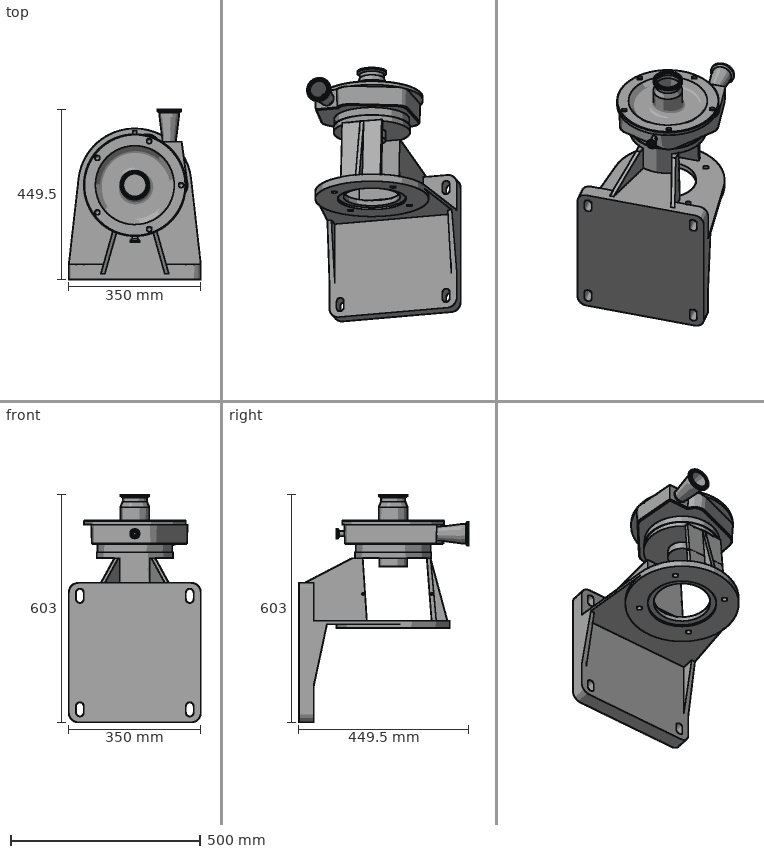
import cadquery as cq
import math


PLATE_WIDTH = 350.0
PLATE_HEIGHT = 369.5
PLATE_THICK = 40.0
PLATE_BACK_Y = -249.5
PLATE_FRONT_Y = PLATE_BACK_Y + PLATE_THICK
PLATE_CORNER_R = 26.0
SLOT_LENGTH = 37.0
SLOT_WIDTH = 20.0
SLOT_SPACING_X = 290.5
SLOT_SPACING_Z = 300.0

FLANGE_TOP_Z = 269.5
FLANGE_THICK = 20.0
FLANGE_R = 150.0
FLANGE_BORE_R = 75.0
MOTOR_RECESS_R = 90.5
MOTOR_RECESS_DEPTH = 5.5
ARM_THICK = FLANGE_THICK / 2
BOLT_HOLE_R = 7.0
BOLT_CIRCLE_R = 114.0
BOLT_COUNT = 4
BOLT_START_ANGLE = 45
UNDER_RIB_REACH = 35.0
UNDER_RIB_FOOT_Z = 96.5
UNDER_RIB_GAP = 319.5

WALL = 10.0
PILLAR_HALF_WIDTH = 54.0
FRONT_PILLAR_Y = -108.5
FRONT_INNER_TOP_Y = -80.0
FRONT_INNER_FOOT_Y = -69.5
GUSSET_TIP_Y = -234.0
GUSSET_ANGLE = math.radians(15.8)
REAR_INNER_TOP_Y = 88.5
REAR_INNER_FOOT_Y = 101.5
REAR_OUTER_TOP_Y = 99.0
REAR_OUTER_FOOT_Y = 114.0
REAR_RIB_FOOT_Y = 143.5
PIN_HOLE_R = 2.5
PIN_HOLE_Z = 340.0
PIN_HOLE_FRONT_Y = -79.5
PIN_HOLE_REAR_Y = 102.5

COLLAR_BOTTOM_Z = 435.0
COLLAR_STEP_Z = 450.5
COLLAR_LOWER_R = 101.5
COLLAR_UPPER_R = 99.5
STUB_R = 37.5
STUB_BOTTOM_Z = 412.5

HOUSING_BOTTOM_Z = 471.5
HOUSING_TOP_Z = 523.5
CORNER_COUNT = 5
CORNER_R = 35.0
CORNER_OFFSET = 99.5
VOLUTE_CORNER_OFFSET = 105.0
VOLUTE_CORNER_COUNT = 2
HOUSING_DRAFT = 1.5
HOUSING_CHAMFER = 3.0
OUTLET_FACE_Y = 115.0
OUTLET_FACE_END_X = 124.0
OUTLET_FACE_START_X = 48.0

COVER_TOP_Z = 534.0
COVER_R = 135.0
COVER_CHAMFER = 2.0
RECESS_RIM_R = 107.0
RECESS_RIM_BEVEL_WIDTH = 2.5
RECESS_RIM_BEVEL_DEPTH = 0.5
RECESS_WALL_FOOT_R = 93.5
RECESS_FLOOR_R = 83.0
RECESS_DEPTH = 18.0
RECESS_WALL_DEPTH = 12.5
SCREW_HOLE_R = 6.5
SCREW_HOLE_DEPTH = 7.0
SCREW_CIRCLE_R = 122.5

INLET_TOP_Z = 603.0
INLET_R = 38.5
INLET_NECK_R = 32.5
INLET_BORE_R = 30.0
INLET_SHOULDER_Z = 569.0
INLET_NECK_Z = 584.5
INLET_BORE_BOTTOM_Z = 482.5
INLET_ROOT_R = 15.0

OUTLET_X = 91.0
OUTLET_Z = 499.0
OUTLET_END_Y = 200.0
OUTLET_R = 26.0
OUTLET_ROOT_R = 18.0
OUTLET_ROOT_LAP = 10.0
OUTLET_ROOT_STRAIGHT = 3.0
OUTLET_LIP_R = 32.0
OUTLET_STRAIGHT = 20.0
OUTLET_BORE_R = 23.0

DRAIN_Z = OUTLET_Z
DRAIN_R = 7.0
DRAIN_BORE_R = 4.0
DRAIN_LIP_R = 12.5
DRAIN_END_Y = -151.0
DRAIN_ROOT_Y = -102.5

LIP_THICK = 4.0
LIP_TAPER = 4.0
SEAL_GROOVE_WIDTH = 3.0
SEAL_GROOVE_DEPTH = 2.0


def disc(radius, bottom_z, top_z):
    return cq.Workplane("XY").workplane(offset=bottom_z).circle(radius).extrude(top_z - bottom_z)


def side_profile(points, half_width):
    """Prism of a (Y, Z) outline, centred on X = 0."""
    return cq.Workplane("YZ").polyline(points).close().extrude(half_width, both=True)


def mounting_plate():
    centre_z = PLATE_HEIGHT / 2
    face = cq.Workplane("XZ", origin=(0, PLATE_FRONT_Y, centre_z))
    plate = face.rect(PLATE_WIDTH, PLATE_HEIGHT).extrude(PLATE_THICK).edges("|Y").fillet(PLATE_CORNER_R)
    slots = (
        face.rect(SLOT_SPACING_X, SLOT_SPACING_Z, forConstruction=True)
        .vertices()
        .slot2D(SLOT_LENGTH, SLOT_WIDTH, 90)
        .extrude(PLATE_THICK)
    )
    return plate.cut(slots)


def arm_outline():
    """Plan of the arm: straight sides from the plate, tangent to the round flange."""
    root_x = PLATE_WIDTH / 2
    root_distance = math.hypot(root_x, PLATE_FRONT_Y)
    tangent_angle = math.atan2(PLATE_FRONT_Y, root_x) + math.acos(FLANGE_R / root_distance)
    tangent_x = FLANGE_R * math.cos(tangent_angle)
    tangent_y = FLANGE_R * math.sin(tangent_angle)
    return (
        cq.Workplane("XY", origin=(0, 0, FLANGE_TOP_Z))
        .moveTo(root_x, PLATE_FRONT_Y)
        .lineTo(tangent_x, tangent_y)
        .threePointArc((0, FLANGE_R), (-tangent_x, tangent_y))
        .lineTo(-root_x, PLATE_FRONT_Y)
        .close()
    )


def under_ribs():
    """Triangular ribs under the arm, flush with its slanted sides."""
    tip_y = PLATE_FRONT_Y + UNDER_RIB_REACH
    arm_bottom_z = FLANGE_TOP_Z - ARM_THICK
    wedge_outline = [
        (PLATE_FRONT_Y, UNDER_RIB_FOOT_Z),
        (PLATE_FRONT_Y, arm_bottom_z),
        (tip_y, arm_bottom_z),
    ]
    wedge = side_profile(wedge_outline, PLATE_WIDTH / 2)
    arm_prism = arm_outline().extrude(-FLANGE_TOP_Z)
    gap = side_profile(wedge_outline, UNDER_RIB_GAP / 2)
    return wedge.intersect(arm_prism).cut(gap)


def motor_flange():
    """Round flange with a shallow locating recess for the motor underneath."""
    bottom_z = FLANGE_TOP_Z - FLANGE_THICK
    flange = disc(FLANGE_R, bottom_z, FLANGE_TOP_Z)
    flange = flange.union(arm_outline().extrude(-ARM_THICK))
    bolt_holes = (
        cq.Workplane("XY", origin=(0, 0, bottom_z))
        .polarArray(BOLT_CIRCLE_R, BOLT_START_ANGLE, 360, BOLT_COUNT)
        .circle(BOLT_HOLE_R)
        .extrude(FLANGE_THICK)
    )
    bore = disc(FLANGE_BORE_R, bottom_z, FLANGE_TOP_Z)
    motor_recess = disc(MOTOR_RECESS_R, bottom_z, bottom_z + MOTOR_RECESS_DEPTH)
    return flange.cut(bore).cut(motor_recess).cut(bolt_holes)


def gusset_pair_plan(inset):
    """Plan between the gussets, moved inwards by inset from their outer faces."""
    near_x = PILLAR_HALF_WIDTH - inset
    far_x = near_x + (FRONT_PILLAR_Y - GUSSET_TIP_Y) * math.tan(GUSSET_ANGLE)
    inner_x = near_x - (FRONT_INNER_FOOT_Y - FRONT_PILLAR_Y) * math.tan(GUSSET_ANGLE)
    return (
        cq.Workplane("XY", origin=(0, 0, FLANGE_TOP_Z))
        .polyline(
            [
                (-inner_x, FRONT_INNER_FOOT_Y),
                (inner_x, FRONT_INNER_FOOT_Y),
                (far_x, GUSSET_TIP_Y),
                (-far_x, GUSSET_TIP_Y),
            ]
        )
        .close()
    )


def front_pillar():
    """Pillar with a round face, two splayed gussets and a shelf level with the plate."""
    height = COLLAR_BOTTOM_Z - FLANGE_TOP_Z
    pillar = side_profile(
        [
            (FRONT_INNER_FOOT_Y, FLANGE_TOP_Z),
            (FRONT_INNER_TOP_Y, COLLAR_BOTTOM_Z),
            (FRONT_PILLAR_Y, COLLAR_BOTTOM_Z),
            (FRONT_PILLAR_Y, FLANGE_TOP_Z),
        ],
        PILLAR_HALF_WIDTH,
    )
    brace = side_profile(
        [
            (FRONT_PILLAR_Y, FLANGE_TOP_Z),
            (FRONT_PILLAR_Y, COLLAR_BOTTOM_Z),
            (GUSSET_TIP_Y, PLATE_HEIGHT),
            (GUSSET_TIP_Y, FLANGE_TOP_Z),
        ],
        PLATE_WIDTH / 2,
    ).intersect(gusset_pair_plan(0).extrude(height))
    gap = gusset_pair_plan(WALL / math.cos(GUSSET_ANGLE)).extrude(height)
    gap = gap.cut(disc(COLLAR_LOWER_R, FLANGE_TOP_Z, COLLAR_BOTTOM_Z))
    gap = gap.cut(disc(PLATE_WIDTH, FLANGE_TOP_Z, PLATE_HEIGHT))
    return pillar.union(brace).cut(gap)


def rear_pillar():
    """Leaning wall with a triangular rib on the middle of its outer face."""
    wall = side_profile(
        [
            (REAR_INNER_FOOT_Y, FLANGE_TOP_Z),
            (REAR_INNER_TOP_Y, COLLAR_BOTTOM_Z),
            (REAR_OUTER_TOP_Y, COLLAR_BOTTOM_Z),
            (REAR_OUTER_FOOT_Y, FLANGE_TOP_Z),
        ],
        PILLAR_HALF_WIDTH,
    )
    rib = side_profile(
        [
            (REAR_INNER_FOOT_Y, FLANGE_TOP_Z),
            (REAR_OUTER_TOP_Y, COLLAR_BOTTOM_Z),
            (REAR_RIB_FOOT_Y, FLANGE_TOP_Z),
        ],
        WALL / 2,
    )
    return wall.union(rib)


def pin_holes():
    return (
        cq.Workplane("YZ")
        .pushPoints([(PIN_HOLE_FRONT_Y, PIN_HOLE_Z), (PIN_HOLE_REAR_Y, PIN_HOLE_Z)])
        .circle(PIN_HOLE_R)
        .extrude(PILLAR_HALF_WIDTH, both=True)
    )


def collar():
    lower = disc(COLLAR_LOWER_R, COLLAR_BOTTOM_Z, COLLAR_STEP_Z)
    upper = disc(COLLAR_UPPER_R, COLLAR_STEP_Z, HOUSING_BOTTOM_Z)
    stub = disc(STUB_R, STUB_BOTTOM_Z, COLLAR_BOTTOM_Z)
    return lower.union(upper).union(stub)


def housing_corner_centre(index):
    """Centre of a housing corner; the two next to the outlet stand further out."""
    offset = VOLUTE_CORNER_OFFSET if index < VOLUTE_CORNER_COUNT else CORNER_OFFSET
    angle = 2 * math.pi * index / CORNER_COUNT
    return (offset * math.cos(angle), offset * math.sin(angle))


def housing_plan(points):
    return cq.Workplane("XY", origin=(0, 0, HOUSING_TOP_Z)).polyline(points).close()


def drafted_prism(outline):
    height = HOUSING_TOP_Z - HOUSING_BOTTOM_Z
    return outline.extrude(-height, taper=HOUSING_DRAFT).faces("<Z").chamfer(HOUSING_CHAMFER)


def housing():
    corners = [housing_corner_centre(index) for index in range(CORNER_COUNT)]
    outlet_block = [
        (OUTLET_FACE_START_X, OUTLET_FACE_Y),
        (OUTLET_FACE_END_X, OUTLET_FACE_Y),
        (VOLUTE_CORNER_OFFSET + CORNER_R, 0),
        (OUTLET_FACE_START_X, 0),
    ]
    body = drafted_prism(housing_plan(corners).offset2D(CORNER_R))
    return body.union(drafted_prism(housing_plan(outlet_block)))


def cover():
    return disc(COVER_R, HOUSING_TOP_Z, COVER_TOP_Z).faces(">Z").edges().chamfer(COVER_CHAMFER)


def recess():
    """Dished annular recess in the cover around the inlet."""
    floor_z = COVER_TOP_Z - RECESS_DEPTH
    wall_foot_z = COVER_TOP_Z - RECESS_WALL_DEPTH
    inner_r = INLET_R + INLET_ROOT_R
    root_mid = INLET_ROOT_R * (1 - math.sqrt(0.5))
    return (
        cq.Workplane("XZ")
        .moveTo(INLET_R, COVER_TOP_Z)
        .lineTo(INLET_R, floor_z + INLET_ROOT_R)
        .threePointArc((INLET_R + root_mid, floor_z + root_mid), (inner_r, floor_z))
        .lineTo(RECESS_FLOOR_R, floor_z)
        .tangentArcPoint((RECESS_WALL_FOOT_R, wall_foot_z), relative=False)
        .lineTo(RECESS_RIM_R - RECESS_RIM_BEVEL_WIDTH, COVER_TOP_Z - RECESS_RIM_BEVEL_DEPTH)
        .lineTo(RECESS_RIM_R, COVER_TOP_Z)
        .close()
        .revolve(360, (0, 0, 0), (0, 1, 0))
    )


def screw_holes():
    """Blind holes with a drill-point bottom, one over each housing corner."""
    hole_bottom_z = COVER_TOP_Z - SCREW_HOLE_DEPTH
    hole = (
        cq.Workplane("XZ")
        .polyline(
            [
                (0, COVER_TOP_Z),
                (SCREW_HOLE_R, COVER_TOP_Z),
                (SCREW_HOLE_R, hole_bottom_z),
                (0, hole_bottom_z - SCREW_HOLE_R),
            ]
        )
        .close()
        .revolve(360, (0, 0, 0), (0, 1, 0))
        .translate((SCREW_CIRCLE_R, 0, 0))
    )
    holes = cq.Workplane("XY")
    for index in range(CORNER_COUNT):
        holes = holes.union(hole.rotate((0, 0, 0), (0, 0, 1), index * 360 / CORNER_COUNT))
    return holes


def spigot(body_points, lip_r, bore_r, length):
    """Turned pipe end along +Z from Z = 0, still unbored, with a grooved clamp lip at Z = length."""
    neck_r = body_points[-1][0]
    lip_points = [
        (neck_r, length - LIP_THICK - LIP_TAPER),
        (lip_r, length - LIP_THICK),
        (lip_r, length),
        (0, length),
    ]
    turned = (
        cq.Workplane("XZ")
        .polyline([(0, 0)] + body_points + lip_points)
        .close()
        .revolve(360, (0, 0, 0), (0, 1, 0))
    )
    groove_r = (lip_r + bore_r) / 2
    groove = disc(groove_r + SEAL_GROOVE_WIDTH / 2, length - SEAL_GROOVE_DEPTH, length)
    groove = groove.cut(disc(groove_r - SEAL_GROOVE_WIDTH / 2, 0, length))
    return turned.cut(groove)


def inlet():
    root_z = COVER_TOP_Z - RECESS_DEPTH
    body = [
        (INLET_R, 0),
        (INLET_R, INLET_SHOULDER_Z - root_z),
        (INLET_NECK_R, INLET_NECK_Z - root_z),
    ]
    pipe = spigot(body, INLET_R, INLET_BORE_R, INLET_TOP_Z - root_z)
    return pipe.translate((0, 0, root_z))


def inlet_bore():
    return disc(INLET_BORE_R, INLET_BORE_BOTTOM_Z, INLET_TOP_Z)


def outlet():
    root_y = OUTLET_FACE_Y - OUTLET_ROOT_LAP
    length = OUTLET_END_Y - root_y
    body = [
        (OUTLET_ROOT_R, 0),
        (OUTLET_ROOT_R, OUTLET_ROOT_LAP + OUTLET_ROOT_STRAIGHT),
        (OUTLET_R, length - OUTLET_STRAIGHT),
    ]
    pipe = spigot(body, OUTLET_LIP_R, OUTLET_BORE_R, length)
    return pipe.rotate((0, 0, 0), (1, 0, 0), -90).translate((OUTLET_X, root_y, OUTLET_Z))


def outlet_bore():
    """Conical bore from the outlet lip down to the housing face."""
    root_bore_r = OUTLET_ROOT_R - (OUTLET_R - OUTLET_BORE_R)
    length = OUTLET_END_Y - OUTLET_FACE_Y
    start = cq.Vector(OUTLET_X, OUTLET_FACE_Y, OUTLET_Z)
    return cq.Workplane(cq.Solid.makeCone(root_bore_r, OUTLET_BORE_R, length, start, cq.Vector(0, 1, 0)))


def drain():
    length = DRAIN_ROOT_Y - DRAIN_END_Y
    stem = spigot([(DRAIN_R, 0)], DRAIN_LIP_R, DRAIN_BORE_R, length)
    bore = disc(DRAIN_BORE_R, length / 2, length)
    return stem.cut(bore).rotate((0, 0, 0), (1, 0, 0), 90).translate((0, DRAIN_ROOT_Y, DRAIN_Z))


bracket = mounting_plate().union(motor_flange()).union(under_ribs())
bracket = bracket.union(front_pillar()).union(rear_pillar()).cut(pin_holes())

pump = collar().union(housing()).union(cover()).cut(recess()).cut(screw_holes())
pump = pump.union(inlet()).cut(inlet_bore())
pump = pump.union(outlet()).cut(outlet_bore()).union(drain())

result = bracket.union(pump)